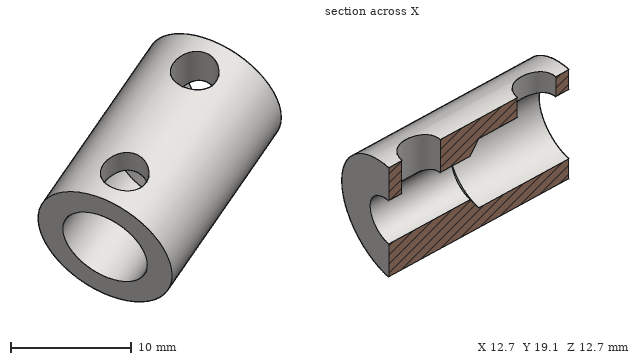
import cadquery as cq
import math

length = 19.05
outer_diameter = 12.7

wide_bore_diameter = 8.0
narrow_bore_diameter = 5.0
wide_bore_depth = length / 2
drill_point_angle = 118.0

screw_hole_diameter = 4.04
screw_hole_end_distance = 3.43

outer_radius = outer_diameter / 2
wide_radius = wide_bore_diameter / 2
narrow_radius = narrow_bore_diameter / 2
cone_length = (wide_radius - narrow_radius) / math.tan(math.radians(drill_point_angle / 2))
front_y = -length / 2
back_y = length / 2
cone_start_y = front_y + wide_bore_depth


def make_sleeve():
    """Revolve the half section of the sleeve and its stepped bore about Y."""
    half_section = (
        cq.Workplane("XY")
        .moveTo(wide_radius, front_y)
        .lineTo(outer_radius, front_y)
        .lineTo(outer_radius, back_y)
        .lineTo(narrow_radius, back_y)
        .lineTo(narrow_radius, cone_start_y + cone_length)
        .lineTo(wide_radius, cone_start_y)
        .close()
    )
    return half_section.revolve(360, (0, 0, 0), (0, 1, 0))


def make_screw_holes():
    """Vertical cutters from the sleeve axis up through the top wall."""
    hole_y = length / 2 - screw_hole_end_distance
    return (
        cq.Workplane("XY")
        .pushPoints([(0, -hole_y), (0, hole_y)])
        .circle(screw_hole_diameter / 2)
        .extrude(outer_radius)
    )


result = make_sleeve().cut(make_screw_holes())